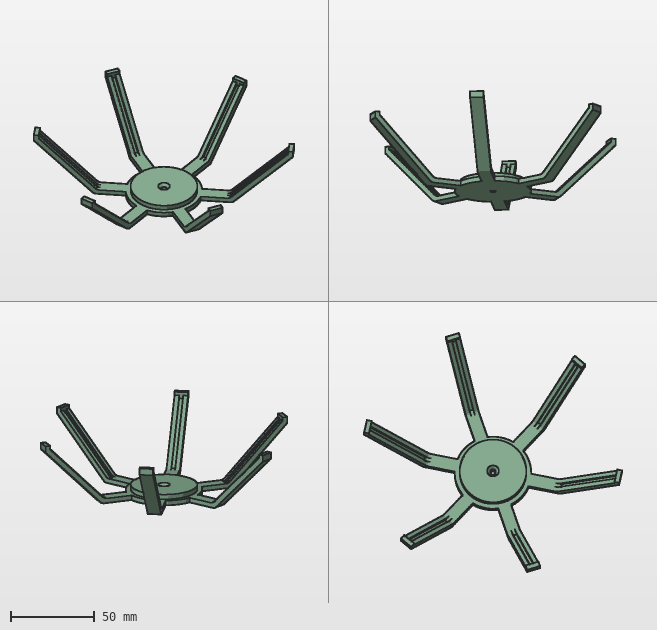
import cadquery as cq
import math

total_height = 40.2
tip_radius = 78.0
arm_count = 6
first_arm_angle = 90.0

plate_thickness = 3.0
flange_diameter = 45.9
disk_diameter = 40.0
disk_height = 3.0
hole_diameter = 3.5
countersink_diameter = 7.0
countersink_angle = 90.0

arm_width = 8.1
slope_angle = 45.0
slope_thickness = 3.5
lip_thickness = 3.0
lip_outer_height = 3.9
bend_rounding = 3.3

groove_width = 2.3
groove_depth = 1.4

slope_run = 1 / math.tan(math.radians(slope_angle))
slope_rise = math.tan(math.radians(slope_angle))
slope_secant = 1 / math.cos(math.radians(slope_angle))
hub_height = plate_thickness + disk_height
countersink_flare = (countersink_diameter - hole_diameter) / 2
countersink_depth = countersink_flare / math.tan(math.radians(countersink_angle / 2))
lip_inner_radius = tip_radius - lip_thickness
lip_outer_base = total_height - lip_outer_height
outer_bend_radius = tip_radius - lip_outer_base * slope_run


def slope_height(radius, offset):
    """Height of a line parallel to the slope, raised square to it by offset from the underside."""
    return (radius - outer_bend_radius) * slope_rise + offset * slope_secant


def slope_start(offset):
    """Radius where a line parallel to the slope meets the top of the plate."""
    return outer_bend_radius + (plate_thickness - offset * slope_secant) * slope_run


def make_hub():
    flange = cq.Workplane("XY").circle(flange_diameter / 2).extrude(plate_thickness)
    return flange.faces(">Z").workplane().circle(disk_diameter / 2).extrude(disk_height)


def make_hole():
    """Cutter for the through hole, with its countersink opening at the top of the disk."""
    hole = cq.Workplane("XY").circle(hole_diameter / 2).extrude(hub_height)
    countersink = (
        cq.Workplane("XY", origin=(0, 0, hub_height - countersink_depth))
        .circle(hole_diameter / 2)
        .workplane(offset=countersink_depth)
        .circle(countersink_diameter / 2)
        .loft(ruled=True)
    )
    return hole.union(countersink)


def make_arm():
    """One arm pointing along +X, with its profile in the XZ plane."""
    profile = [
        (0, 0),
        (outer_bend_radius, 0),
        (tip_radius, lip_outer_base),
        (tip_radius, total_height),
        (lip_inner_radius, total_height),
        (lip_inner_radius, slope_height(lip_inner_radius, slope_thickness)),
        (slope_start(slope_thickness), plate_thickness),
        (0, plate_thickness),
    ]
    arm = cq.Workplane("XZ").polyline(profile).close().extrude(arm_width / 2, both=True)

    inner_bend = (slope_start(slope_thickness), 0, plate_thickness)
    outer_bend = (outer_bend_radius, 0, 0)
    for bend in (inner_bend, outer_bend):
        arm = arm.edges(cq.selectors.NearestToPointSelector(bend)).fillet(bend_rounding)
    return arm.cut(make_groove())


def make_groove():
    """Cutter whose floor runs level from the spoke, then parallel to the slope up to the lip."""
    floor_offset = slope_thickness - groove_depth
    profile = [
        (flange_diameter / 2, plate_thickness),
        (slope_start(floor_offset), plate_thickness),
        (lip_inner_radius, slope_height(lip_inner_radius, floor_offset)),
        (lip_inner_radius, total_height),
    ]
    return cq.Workplane("XZ").polyline(profile).close().extrude(groove_width / 2, both=True)


result = make_hub()
arm = make_arm()
for index in range(arm_count):
    angle = first_arm_angle + index * 360 / arm_count
    result = result.union(arm.rotate((0, 0, 0), (0, 0, 1), angle))

result = result.cut(make_hole())